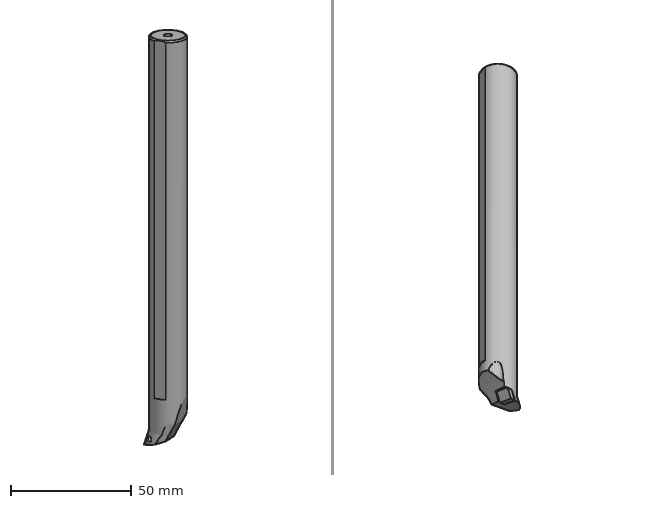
import cadquery as cq
import math

total_length = 180.0
overall_width = 18.5
shank_diameter = 16.0
shank_radius = shank_diameter / 2
top_chamfer = 0.7
cut_reach = 21.6
cut_margin = 3.6

flat_distance = 15.1
shank_bottom = 22.5
flat_bottom = 23.0
waist_height = 2.2
waist_depth = 0.07

centre_hole_diameter = 1.5
centre_hole_depth = 3.6
centre_cone_diameter = 3.5
centre_cone_angle = 60.0

insert_edge = 7.7
insert_point_angle = 55.0
insert_thickness = 2.3
insert_clearance_angle = 3.0
insert_tilt = 8.0
insert_tip_y = -0.2
insert_tip_x = shank_radius - overall_width
lead_angle = (90.0 - insert_point_angle) / 2
lead_slope = math.tan(math.radians(lead_angle))

flare_top = 7.5
flare_angle = 14.0
end_clearance = 0.5

back_top_z = 22.7
back_corner_x = 0.0
back_knee = (5.8, 12.0)
back_low = (2.0, 4.5)

relief_azimuth = 30.0
relief_tilt = 7.0
relief_top = 13.0

chip_floor_y = 1.8
chip_floor_tilt = 2.5
chip_slope_top = 17.5
chip_corner_radius = 7.2

gullet_top_angle = 149.0
gullet_top_z = 20.3
gullet_lean = 14.0
gullet_wall_angle = 56.0
gullet_radius = 4.0
gullet_width = 9.0
gullet_height = 5.4
gullet_half_length = 10.8

screw_hole_diameter = 2.2
screw_hole_x = -5.2
screw_hole_z = 4.7


def make_bar():
    """Revolved bar: flared head, waist and shank with a chamfered top."""
    flare_slope = math.tan(math.radians(flare_angle))
    waist_bottom = shank_bottom - waist_height
    waist_middle = (waist_depth - shank_radius, shank_bottom - waist_height / 2)
    return (
        cq.Workplane("XZ")
        .moveTo(0, 0)
        .lineTo(-shank_radius - flare_top * flare_slope, 0)
        .lineTo(-shank_radius, flare_top)
        .lineTo(-shank_radius, waist_bottom)
        .threePointArc(waist_middle, (-shank_radius, shank_bottom))
        .lineTo(-shank_radius, total_length - top_chamfer)
        .lineTo(-shank_radius + top_chamfer, total_length)
        .lineTo(0, total_length)
        .close()
        .revolve(360, (0, 0, 0), (0, 1, 0))
    )


def make_flat_cuts():
    """Two blocks that leave the flats on the -Y and +Y sides of the shank."""
    return (
        cq.Workplane("XY", origin=(0, 0, flat_bottom))
        .pushPoints([(0, side * (flat_distance + cut_reach) / 2) for side in (-1, 1)])
        .rect(cut_reach, cut_reach)
        .extrude(total_length - flat_bottom)
    )


def make_head_envelope():
    """Outline of the bar seen along Y: lower edge, two back slopes and the full bar above."""
    lower_left = insert_tip_x - cut_margin
    lower_left_z = end_clearance + (lower_left - insert_tip_x) * lead_slope
    corner_z = end_clearance + (back_corner_x - insert_tip_x) * lead_slope
    return (
        cq.Workplane("XZ")
        .moveTo(lower_left, lower_left_z)
        .lineTo(back_corner_x, corner_z)
        .lineTo(*back_low)
        .lineTo(*back_knee)
        .lineTo(shank_radius, back_top_z)
        .lineTo(cut_reach, back_top_z)
        .lineTo(cut_reach, total_length)
        .lineTo(lower_left, total_length)
        .close()
        .extrude(cut_reach, both=True)
    )


def make_relief_cut():
    """Block beyond the inclined flat, which touches the bar's surface at its top."""
    azimuth = math.radians(relief_azimuth - 90.0)
    tilt = math.radians(relief_tilt)
    across = (math.cos(azimuth), math.sin(azimuth))
    touch = (shank_radius * across[0], shank_radius * across[1], relief_top)
    normal = (math.cos(tilt) * across[0], math.cos(tilt) * across[1], -math.sin(tilt))
    plane = cq.Plane(origin=touch, xDir=(-across[1], across[0], 0), normal=normal)
    return cq.Workplane(plane).rect(cut_reach * 2, cut_reach * 2).extrude(cut_reach)


def make_chip_space():
    """Space above the chip floor, closed at the top by a 45-degree slope with a rounded corner."""
    slope_bottom = chip_slope_top - (shank_radius - chip_floor_y)
    outer_y = shank_radius + cut_margin
    outer_z = chip_slope_top + cut_margin
    space = (
        cq.Workplane("YZ")
        .moveTo(chip_floor_y, -cut_margin)
        .lineTo(chip_floor_y, slope_bottom)
        .lineTo(outer_y, outer_z)
        .lineTo(outer_y, -cut_margin)
        .close()
        .extrude(cut_reach, both=True)
    )
    corner = cq.NearestToPointSelector((0, chip_floor_y, slope_bottom))
    return space.edges(corner).fillet(chip_corner_radius).rotate((0, 0, 0), (0, 0, 1), chip_floor_tilt)


def make_gullet():
    """Prism with a rounded inner corner that deepens the chip space towards -X."""
    top = math.radians(gullet_top_angle)
    lean = math.radians(gullet_lean)
    wall = math.tan(math.radians(gullet_wall_angle))
    origin = (shank_radius * math.cos(top), shank_radius * math.sin(top), gullet_top_z)
    plane = cq.Plane(
        origin=origin,
        xDir=(math.cos(lean), 0, math.sin(lean)),
        normal=(-math.sin(lean), 0, math.cos(lean)),
    )
    floor = chip_floor_y - origin[1]
    prism = (
        cq.Workplane(plane)
        .moveTo(floor / wall, floor)
        .lineTo(gullet_height / wall, gullet_height)
        .lineTo(-gullet_width, gullet_height)
        .lineTo(-gullet_width, floor)
        .close()
        .extrude(gullet_half_length, both=True)
    )
    corner = plane.toWorldCoords((floor / wall, floor, 0))
    return prism.edges(cq.NearestToPointSelector(corner.toTuple())).fillet(gullet_radius)


def insert_outline():
    """Diamond on the tilted rake plane; local x is inwards and local y is downwards."""
    tilt = math.radians(insert_tilt)
    plane = cq.Plane(
        origin=(insert_tip_x, insert_tip_y, 0),
        xDir=(math.cos(tilt), math.sin(tilt), 0),
        normal=(-math.sin(tilt), math.cos(tilt), 0),
    )
    long_leg = insert_edge * math.cos(math.radians(lead_angle))
    short_leg = insert_edge * math.sin(math.radians(lead_angle))
    diagonal = long_leg + short_leg
    corners = [(0, 0), (long_leg, -short_leg), (diagonal, -diagonal), (short_leg, -long_leg)]
    return cq.Workplane(plane).polyline(corners).close()


def make_insert():
    """Insert that narrows from its rake face towards its seat."""
    return insert_outline().extrude(-insert_thickness, taper=insert_clearance_angle)


def make_screw_hole():
    """Hole from inside the insert pocket out through the -Y side."""
    return (
        cq.Workplane("XZ", origin=(screw_hole_x, insert_tip_y - insert_thickness / 2, screw_hole_z))
        .circle(screw_hole_diameter / 2)
        .extrude(cut_reach)
    )


def make_holder(seated_insert):
    """Bar with its cuts and holes, and a pocket that fits the insert and is open above it."""
    body = make_bar().cut(make_flat_cuts()).intersect(make_head_envelope())
    body = body.cut(make_relief_cut()).cut(make_chip_space()).cut(make_gullet())
    body = body.faces(">Z").workplane(origin=(0, 0, total_length)).cskHole(
        centre_hole_diameter, centre_cone_diameter, centre_cone_angle, centre_hole_depth
    )
    body = body.cut(make_screw_hole())
    return body.cut(seated_insert).cut(insert_outline().extrude(cut_reach))


insert = make_insert()
holder = make_holder(insert)

result = cq.Compound.makeCompound([holder.solids().val(), insert.val()])